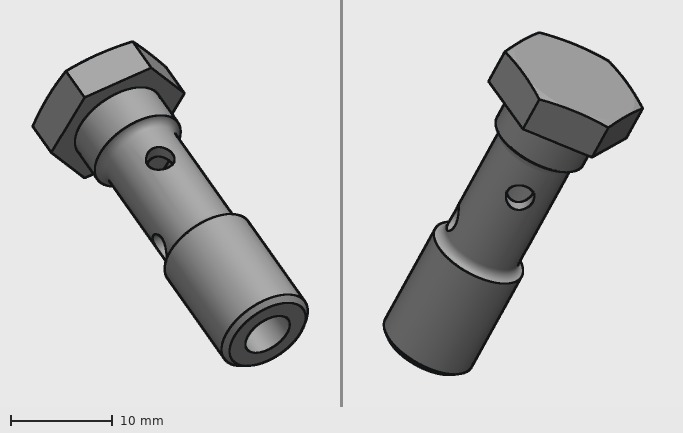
import cadquery as cq
import math

total_length = 34.0

across_flats = 13.0
across_corners = across_flats / math.cos(math.radians(30))
head_length = 4.0
head_chamfer_angle = 15

collar_diameter = 9.7
collar_end = 8.0
neck_diameter = 8.0
neck_fillet_radius = 1.0
thread_diameter = 9.72
thread_start = 22.0
end_chamfer = 0.58

bore_diameter = 5.0
bore_bottom = 10.0
cross_hole_diameter = 2.8
vertical_hole_x = 12.5
horizontal_hole_x = 19.48


def make_head():
    """Hexagonal prism with its outer corners bevelled down to the inscribed circle."""
    hexagon = cq.Workplane("YZ").polygon(6, across_corners).extrude(head_length)
    flat_radius = across_flats / 2
    corner_radius = across_corners / 2
    bevel_depth = (corner_radius - flat_radius) * math.tan(math.radians(head_chamfer_angle))
    bevel_envelope = (
        cq.Workplane("XY")
        .moveTo(0, 0)
        .lineTo(0, flat_radius)
        .lineTo(bevel_depth, corner_radius)
        .lineTo(head_length, corner_radius)
        .lineTo(head_length, 0)
        .close()
        .revolve(360, (0, 0, 0), (1, 0, 0))
    )
    return hexagon.intersect(bevel_envelope)


def fillet_length(shoulder_radius):
    """Axial length of a fillet that is tangent to the neck and runs out at the shoulder's rim."""
    rim_below_centre = neck_diameter / 2 + neck_fillet_radius - shoulder_radius
    return math.sqrt(neck_fillet_radius**2 - rim_below_centre**2)


def make_shank():
    """Collar, neck and plain thread blank, with fillets at both ends of the neck."""
    collar_radius = collar_diameter / 2
    neck_radius = neck_diameter / 2
    thread_radius = thread_diameter / 2
    neck_start = collar_end + fillet_length(collar_radius)
    neck_end = thread_start - fillet_length(thread_radius)
    return (
        cq.Workplane("XY")
        .moveTo(head_length, 0)
        .lineTo(head_length, collar_radius)
        .lineTo(collar_end, collar_radius)
        .radiusArc((neck_start, neck_radius), -neck_fillet_radius)
        .lineTo(neck_end, neck_radius)
        .radiusArc((thread_start, thread_radius), -neck_fillet_radius)
        .lineTo(total_length - end_chamfer, thread_radius)
        .lineTo(total_length, thread_radius - end_chamfer)
        .lineTo(total_length, 0)
        .close()
        .revolve(360, (0, 0, 0), (1, 0, 0))
    )


def make_bore():
    """Blind axial bore entering from the shank end."""
    return (
        cq.Workplane("YZ")
        .workplane(offset=bore_bottom)
        .circle(bore_diameter / 2)
        .extrude(total_length - bore_bottom)
    )


def make_cross_hole(plane, x):
    """Hole through the whole neck, square to the given plane."""
    return (
        cq.Workplane(plane)
        .center(x, 0)
        .circle(cross_hole_diameter / 2)
        .extrude(neck_diameter, both=True)
    )


result = (
    make_head()
    .union(make_shank())
    .cut(make_bore())
    .cut(make_cross_hole("XY", vertical_hole_x))
    .cut(make_cross_hole("XZ", horizontal_hole_x))
)